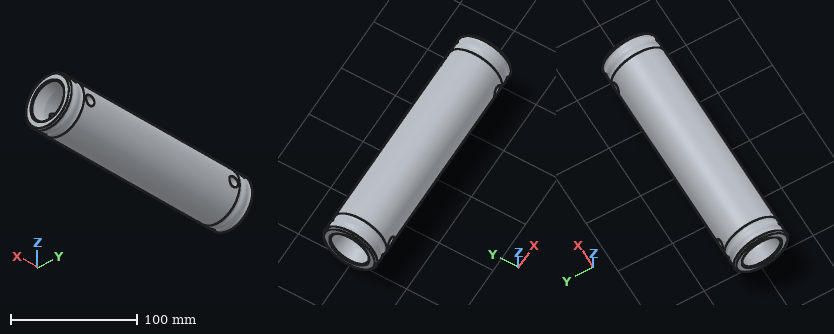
import cadquery as cq
import math

length = 210.0
outer_radius = 25.0
bore_radius = 15.02

end_face_radius = 23.5
groove_radius = 24.25
bump_edge_radius = 24.61
chamfer_end = 1.7
first_groove_bottom = 4.6
bump_start = 6.5
bump_end = 11.0
second_groove_bottom = 12.8
band_end = 16.0

mouth_radius = 18.5
taper_start_radius = 17.54
mouth_chamfer = 0.8
taper_end = 12.0

hole_diameter = 9.7
hole_from_end = 22.9

half_length = length / 2


def at(from_end, radius):
    """Point on the wall section at the left end of the tube."""
    return (from_end - half_length, radius)


def groove_flank_middle(bottom, top, top_radius):
    """Middle of a concave arc that is level at the groove bottom and ends at the top point."""
    width = top - bottom
    rise = top_radius - groove_radius
    arc_radius = (width**2 + rise**2) / (2 * rise)
    middle_rise = arc_radius - math.sqrt(arc_radius**2 - (width / 2) ** 2)
    return at(bottom + width / 2, groove_radius + middle_rise)


def revolve_about_axis(section):
    return section.close().revolve(360, (0, 0, 0), (1, 0, 0))


def make_end_band():
    """Solid end of the tube: chamfer, two round grooves and the bump between them."""
    section = (
        cq.Workplane("XZ")
        .moveTo(*at(0, 0))
        .lineTo(*at(0, end_face_radius))
        .lineTo(*at(chamfer_end, outer_radius))
        .threePointArc(
            groove_flank_middle(first_groove_bottom, chamfer_end, outer_radius),
            at(first_groove_bottom, groove_radius),
        )
        .threePointArc(
            groove_flank_middle(first_groove_bottom, bump_start, bump_edge_radius),
            at(bump_start, bump_edge_radius),
        )
        .threePointArc(
            at((bump_start + bump_end) / 2, outer_radius),
            at(bump_end, bump_edge_radius),
        )
        .threePointArc(
            groove_flank_middle(second_groove_bottom, bump_end, bump_edge_radius),
            at(second_groove_bottom, groove_radius),
        )
        .threePointArc(
            groove_flank_middle(second_groove_bottom, band_end, outer_radius),
            at(band_end, outer_radius),
        )
        .lineTo(*at(band_end, 0))
    )
    return revolve_about_axis(section)


def make_mouth_cutter():
    """Plug removed from the bore: a short edge chamfer followed by a taper."""
    section = (
        cq.Workplane("XZ")
        .moveTo(*at(0, 0))
        .lineTo(*at(0, mouth_radius))
        .lineTo(*at(mouth_chamfer, taper_start_radius))
        .lineTo(*at(taper_end, bore_radius))
        .lineTo(*at(taper_end, 0))
    )
    return revolve_about_axis(section)


def make_cross_holes():
    """Make the two drilling cylinders, one near each end."""
    hole_x = half_length - hole_from_end
    return (
        cq.Workplane("XZ")
        .pushPoints([(-hole_x, 0), (hole_x, 0)])
        .circle(hole_diameter / 2)
        .extrude(2 * outer_radius, both=True)
    )


end_band = make_end_band()
mouth_cutter = make_mouth_cutter()
bore = cq.Workplane("YZ").circle(bore_radius).extrude(half_length, both=True)

body = cq.Workplane("YZ").circle(outer_radius).extrude(half_length - band_end, both=True)
body = body.union(end_band).union(end_band.mirror("YZ"))
tube = body.cut(bore).cut(mouth_cutter).cut(mouth_cutter.mirror("YZ"))
result = tube.cut(make_cross_holes())